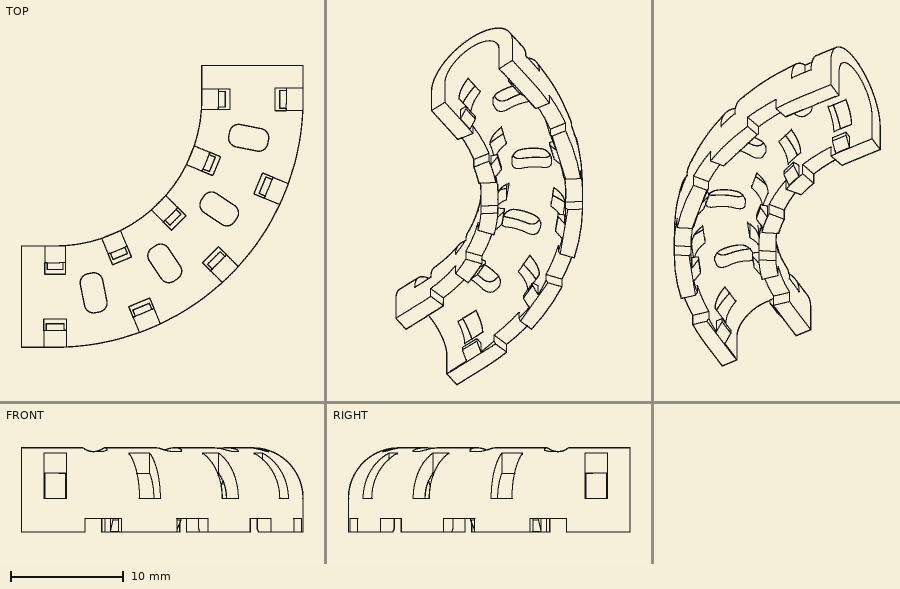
import cadquery as cq


outer_radius = 4.5
wall = 1.5
inner_radius = outer_radius - wall
leg_height = 3.0
height = leg_height + outer_radius

bend_radius = 17.5
bend_angle = 90.0
end_length = 3.0
outer_leg_face = bend_radius + inner_radius
inner_leg_face = bend_radius - inner_radius

station_count = 5
station_pitch = bend_angle / (station_count - 1)
station_angles = [-bend_angle + i * station_pitch for i in range(station_count)]
gap_angles = [angle + station_pitch / 2 for angle in station_angles[:-1]]

window_offset = 2.0
outer_window_width = 2.0
inner_window_width = 1.8

slot_length = 3.5
slot_width = 2.0
slot_corner_radius = 0.8

notch_width = 3.3
notch_height = 1.2

clip_reach = 0.6
clip_top = 1.5
clip_nose_bottom = 1.1
clip_embed = 0.2
outer_clip_width = 1.6
inner_clip_width = 1.4

relief_depth = 0.04
relief_length = 5.2

clearance = 1.0


def at_angle(shape, angle):
    """Turn a feature built on the +X radial line to its place on the bend."""
    return shape.rotate((0, 0, 0), (0, 0, 1), angle)


def radial_box(radius_start, radius_end, width, z_start, z_end):
    """Box on the +X radial line, centred across it."""
    return (
        cq.Workplane("XY", origin=((radius_start + radius_end) / 2, 0, z_start))
        .box(radius_end - radius_start, width, z_end - z_start, centered=(True, True, False))
    )


def radial_prism(points, width):
    """Outline of (radius, z) points made into a prism across the radial line."""
    return cq.Workplane("XZ").polyline(points).close().extrude(width / 2, both=True)


def arch_profile():
    """Inverted U section on the +X side of the bend axis."""
    return (
        cq.Workplane("XZ")
        .moveTo(bend_radius - outer_radius, 0)
        .lineTo(bend_radius - outer_radius, leg_height)
        .threePointArc((bend_radius, height), (bend_radius + outer_radius, leg_height))
        .lineTo(bend_radius + outer_radius, 0)
        .lineTo(outer_leg_face, 0)
        .lineTo(outer_leg_face, leg_height)
        .threePointArc((bend_radius, leg_height + inner_radius), (inner_leg_face, leg_height))
        .lineTo(inner_leg_face, 0)
        .close()
    )


def channel():
    """Bend with a straight piece at each end."""
    bend = at_angle(arch_profile().revolve(bend_angle, (0, 0, 0), (0, 1, 0)), -bend_angle)
    y_end = arch_profile().extrude(-end_length)
    x_end = at_angle(arch_profile().extrude(end_length), -bend_angle)
    return bend.union(y_end).union(x_end)


def windows():
    """Outer and inner side windows at one station."""
    outer = radial_box(
        bend_radius + window_offset, bend_radius + outer_radius + clearance,
        outer_window_width, leg_height, height + clearance,
    )
    inner = radial_box(
        bend_radius - outer_radius - clearance, bend_radius - window_offset,
        inner_window_width, leg_height, height + clearance,
    )
    return outer.union(inner)


def crown_slot():
    """Rounded slot through the crown, long in the radial direction."""
    slot = radial_box(
        bend_radius - slot_length / 2, bend_radius + slot_length / 2,
        slot_width, leg_height, height + clearance,
    )
    return slot.edges("|Z").fillet(slot_corner_radius)


def leg_notch():
    """Notch through the bottom of both legs."""
    return radial_box(
        bend_radius - outer_radius - clearance, bend_radius + outer_radius + clearance,
        notch_width, -clearance, notch_height,
    )


def clip(leg_face, inward, width):
    """Snap clip on a leg face; inward is +1 or -1, the way the clip points."""
    root = leg_face - inward * clip_embed
    nose = leg_face + inward * clip_reach
    points = [
        (root, clip_top),
        (nose, clip_top),
        (nose, clip_nose_bottom),
        (leg_face - inward * relief_depth, 0),
        (root, 0),
    ]
    return radial_prism(points, width)


def foot_relief():
    """Wedge off the lower inside edge of the outer leg, in the plane of the clip slope."""
    nose = outer_leg_face - clip_reach
    points = [
        (outer_leg_face + relief_depth, 0),
        (nose, clip_nose_bottom),
        (nose, 0),
    ]
    return radial_prism(points, relief_length)


result = channel()

for angle in gap_angles:
    result = result.cut(at_angle(crown_slot(), angle))
    result = result.cut(at_angle(leg_notch(), angle))

for angle in station_angles:
    result = result.cut(at_angle(windows(), angle))
    result = result.cut(at_angle(foot_relief(), angle))
    result = result.union(at_angle(clip(outer_leg_face, -1, outer_clip_width), angle))
    result = result.union(at_angle(clip(inner_leg_face, 1, inner_clip_width), angle))